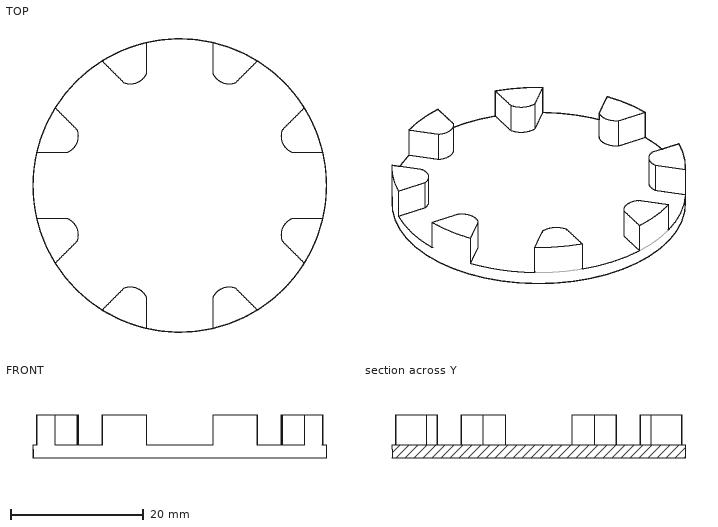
import cadquery as cq
import math

disc_diameter = 44.35
disc_thickness = 2.0
total_height = 6.5
slot_width = 10.0
lug_count = 8
tip_radius = 2.65
tip_center = 19.45

disc_radius = disc_diameter / 2
lug_height = total_height - disc_thickness
half_pitch = math.pi / lug_count
apex_distance = slot_width / 2 / math.sin(half_pitch)
center_offset = tip_center - apex_distance
flank_start = center_offset * math.cos(half_pitch) - math.sqrt(
    tip_radius**2 - (center_offset * math.sin(half_pitch)) ** 2
)


def flank_point(distance, side):
    """Point on a lug flank at a distance from the apex, for a lug along +X."""
    return (
        apex_distance + distance * math.cos(half_pitch),
        side * distance * math.sin(half_pitch),
    )


def make_lug():
    """One lug along +X: straight flanks, rounded tip, outer face on the disc rim."""
    wedge = (
        cq.Workplane("XY")
        .workplane(offset=disc_thickness)
        .moveTo(*flank_point(disc_radius, -1))
        .lineTo(*flank_point(flank_start, -1))
        .threePointArc((tip_center - tip_radius, 0), flank_point(flank_start, 1))
        .lineTo(*flank_point(disc_radius, 1))
        .close()
        .extrude(lug_height)
    )
    return wedge.intersect(cq.Workplane("XY").circle(disc_radius).extrude(total_height))


result = cq.Workplane("XY").circle(disc_radius).extrude(disc_thickness)
lug = make_lug()
for index in range(lug_count):
    angle = math.degrees(half_pitch) * (2 * index + 1)
    result = result.union(lug.rotate((0, 0, 0), (0, 0, 1), angle))